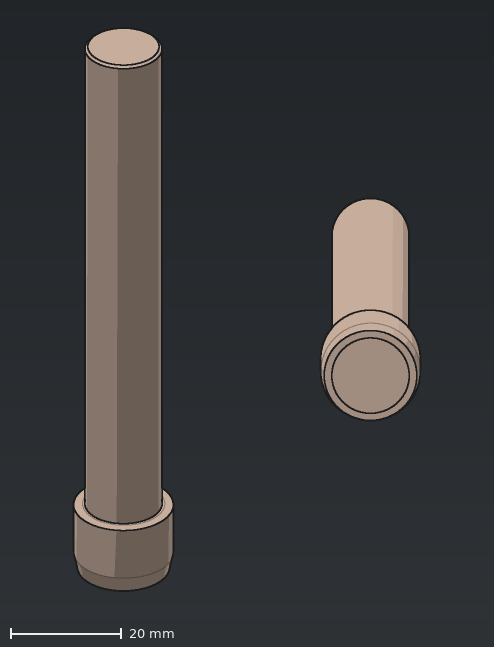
import cadquery as cq

TOTAL_LENGTH = 110.0
COLLAR_DIAMETER = 18.0
PIN_DIAMETER = 14.0

COLLAR_HEIGHT = 13.4
LEAD_IN_HEIGHT = 3.2
LEAD_IN_INSET = 0.7
TOP_CONE_DROP = 0.2
LAND_WIDTH = 0.4

BEVEL_WIDTH = 0.5
BEVEL_HEIGHT = 0.4

collar_radius = COLLAR_DIAMETER / 2
pin_radius = PIN_DIAMETER / 2


def revolve_outline(points):
    """Turn a closed (radius, height) outline fully around the Z axis."""
    return cq.Workplane("XZ").polyline(points).close().revolve(360, (0, 0), (0, 1))


def make_collar():
    """Ring with a through bore that fits the pin."""
    return revolve_outline([
        (pin_radius, 0),
        (collar_radius - LEAD_IN_INSET, 0),
        (collar_radius, LEAD_IN_HEIGHT),
        (collar_radius, COLLAR_HEIGHT - TOP_CONE_DROP),
        (pin_radius + LAND_WIDTH, COLLAR_HEIGHT),
        (pin_radius, COLLAR_HEIGHT),
    ])


def make_pin():
    """Round pin running the full length, bevelled at the top."""
    return revolve_outline([
        (0, 0),
        (pin_radius, 0),
        (pin_radius, TOTAL_LENGTH - BEVEL_HEIGHT),
        (pin_radius - BEVEL_WIDTH, TOTAL_LENGTH),
        (0, TOTAL_LENGTH),
    ])


collar = make_collar()
pin = make_pin()

result = cq.Compound.makeCompound([collar.val(), pin.val()])